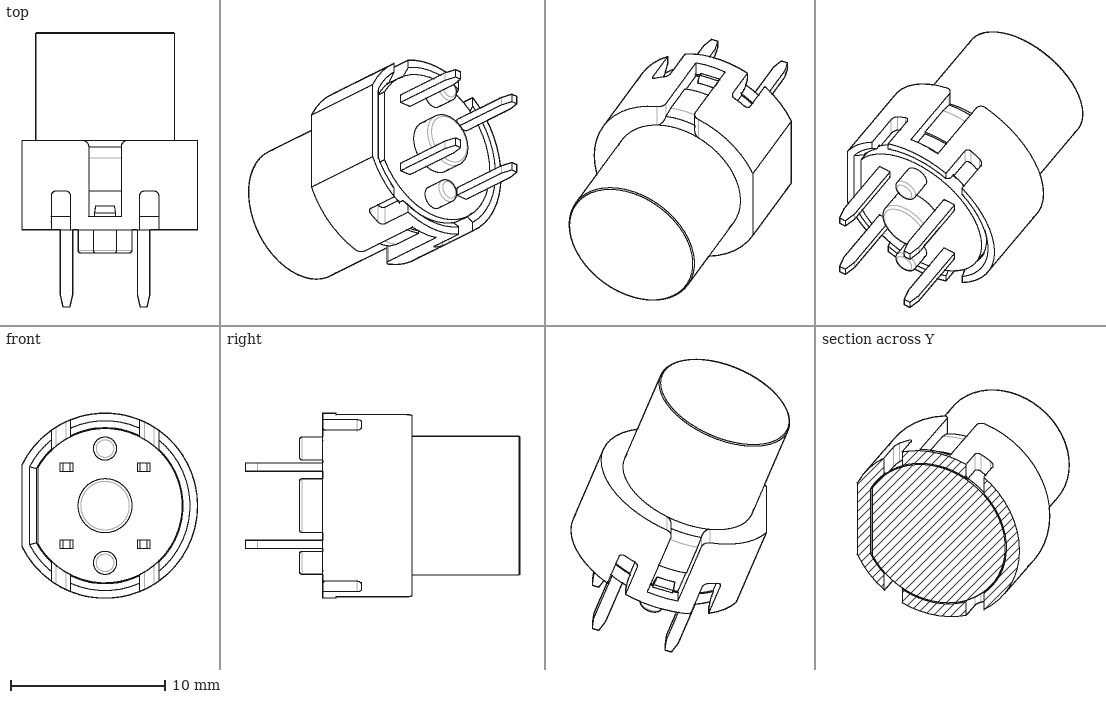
import math

import cadquery as cq


shell_radius = 6.0
shell_flat_x = -5.39
shell_length = 5.8

mouth_wall = 0.5
mouth_chamfer_width = 0.45
mouth_chamfer_depth = 0.5
mouth_radius = shell_radius - mouth_wall
mouth_flat_x = shell_flat_x + mouth_wall
bore_radius = mouth_radius - mouth_chamfer_width
bore_flat_x = mouth_flat_x + mouth_chamfer_width
bore_depth = 0.88

base_radius = bore_radius - 0.05
base_flat_x = bore_flat_x + 0.1

core_floor_radius = 4.9
core_rim_radius = 5.07
core_rim_start = 2.52
core_taper_start = 4.66
core_shoulder_radius = 4.92
core_shoulder_start = 5.37

stem_radius = 4.5
stem_length = 7.0
stem_edge_chamfer = 0.08

window_width = 2.1
window_flare = 0.43

slot_inner_x = 2.24
slot_outer_x = 3.48
slot_depth = core_rim_start
slot_corner_radius = 0.3

latch_width = 1.36
latch_peak_width = 1.22
latch_rise = 0.25
latch_peak_end = 1.08
latch_ramp_end = 1.55

boss_length = 1.5
boss_fillet = 0.18
center_boss_radius = 3.5 / 2
side_boss_radius = 1.5 / 2
side_boss_offset = 3.7

pin_pitch = 5.0
pin_length = 5.0
pin_width = 0.82
pin_thickness = 0.55
pin_tip_width = 0.45
pin_tip_length = 0.8

overlap = 0.5


def cross_section(y):
    """Sketch plane across the part axis; extruding runs towards +Y."""
    return cq.Workplane(cq.Plane(origin=(0, y, 0), xDir=(1, 0, 0), normal=(0, 1, 0)))


def flatted_circle(radius, flat_x):
    """Circle at Y = 0, cut straight along X = flat_x."""
    half_flat = math.sqrt(radius**2 - flat_x**2)
    return (
        cross_section(0)
        .moveTo(flat_x, half_flat)
        .threePointArc((radius, 0), (flat_x, -half_flat))
        .close()
    )


def make_shell():
    """Round block with one flat and a chamfered bore in its mouth."""
    shell = flatted_circle(shell_radius, shell_flat_x).extrude(shell_length)
    bore = flatted_circle(bore_radius, bore_flat_x).extrude(bore_depth)
    chamfer_angle = math.degrees(math.atan2(mouth_chamfer_width, mouth_chamfer_depth))
    mouth = flatted_circle(mouth_radius, mouth_flat_x).extrude(mouth_chamfer_depth, taper=chamfer_angle)
    return shell.cut(bore).cut(mouth)


def make_window_cutter(z_side):
    """Window open at the rear, its side walls rounded outwards at the rear edge."""
    half_width = window_width / 2
    flare_start = shell_length - window_flare
    flare_half_width = half_width + window_flare
    return (
        cq.Workplane("XY")
        .moveTo(-half_width, bore_depth)
        .lineTo(half_width, bore_depth)
        .lineTo(half_width, flare_start)
        .radiusArc((flare_half_width, shell_length), window_flare)
        .lineTo(-flare_half_width, shell_length)
        .radiusArc((-half_width, flare_start), window_flare)
        .close()
        .extrude(z_side * shell_radius)
    )


def make_slot_cutter(x_side, z_side):
    """Slot from the mouth inwards, rounded at the corners of its closed end."""
    center_x = x_side * (slot_inner_x + slot_outer_x) / 2
    return (
        cq.Workplane("XY")
        .center(center_x, slot_depth / 2)
        .rect(slot_outer_x - slot_inner_x, slot_depth)
        .extrude(z_side * shell_radius)
        .edges("|Z and >Y")
        .fillet(slot_corner_radius)
    )


def make_base():
    """Round plate with one flat that carries the pins and bosses."""
    return flatted_circle(base_radius, base_flat_x).extrude(bore_depth)


def make_core():
    """Turned core: a recessed floor, then a low rim that tapers down to the stem."""
    return (
        cq.Workplane("XY")
        .moveTo(0, bore_depth)
        .lineTo(core_floor_radius, bore_depth)
        .lineTo(core_floor_radius, core_rim_start)
        .lineTo(core_rim_radius, core_rim_start)
        .lineTo(core_rim_radius, core_taper_start)
        .lineTo(core_shoulder_radius, core_shoulder_start)
        .lineTo(stem_radius, shell_length)
        .lineTo(0, shell_length)
        .close()
        .revolve(360, (0, 0, 0), (0, 1, 0))
    )


def make_stem():
    stem = cross_section(shell_length - overlap).circle(stem_radius).extrude(overlap + stem_length)
    return stem.faces(">Y").chamfer(stem_edge_chamfer)


def make_latch(z_side):
    """Ramp that rises from the window floor towards the mouth."""
    floor_z = core_floor_radius - overlap
    ramp = (
        cq.Workplane("YZ")
        .moveTo(bore_depth, z_side * floor_z)
        .lineTo(bore_depth, z_side * (core_floor_radius + latch_rise))
        .lineTo(latch_peak_end, z_side * (core_floor_radius + latch_rise))
        .lineTo(latch_ramp_end, z_side * core_floor_radius)
        .lineTo(latch_ramp_end, z_side * floor_z)
        .close()
        .extrude(latch_width / 2, both=True)
    )
    outline = (
        cq.Workplane("XY")
        .moveTo(-latch_width / 2, bore_depth)
        .lineTo(latch_width / 2, bore_depth)
        .lineTo(latch_width / 2, latch_peak_end)
        .lineTo(latch_peak_width / 2, latch_ramp_end)
        .lineTo(-latch_peak_width / 2, latch_ramp_end)
        .lineTo(-latch_width / 2, latch_peak_end)
        .close()
        .extrude(z_side * shell_radius)
    )
    return ramp.intersect(outline)


def make_boss(radius, z):
    """Round boss on the mounting face with a rounded end."""
    boss = cross_section(-boss_length).center(0, -z).circle(radius).extrude(boss_length + overlap)
    return boss.faces("<Y").edges().fillet(boss_fillet)


def make_pin(x, z):
    """Flat pin, tapered in width at its tip."""
    taper_start = pin_tip_length - pin_length
    return (
        cq.Workplane("XY", origin=(x, 0, z))
        .moveTo(-pin_width / 2, overlap)
        .lineTo(-pin_width / 2, taper_start)
        .lineTo(-pin_tip_width / 2, -pin_length)
        .lineTo(pin_tip_width / 2, -pin_length)
        .lineTo(pin_width / 2, taper_start)
        .lineTo(pin_width / 2, overlap)
        .close()
        .extrude(pin_thickness / 2, both=True)
    )


def make_part():
    sides = (-1, 1)

    part = make_shell()
    for z_side in sides:
        part = part.cut(make_window_cutter(z_side))
        for x_side in sides:
            part = part.cut(make_slot_cutter(x_side, z_side))

    part = part.union(make_core()).union(make_base()).union(make_stem())
    part = part.union(make_boss(center_boss_radius, 0))
    for z_side in sides:
        part = part.union(make_latch(z_side))
        part = part.union(make_boss(side_boss_radius, z_side * side_boss_offset))
        for x_side in sides:
            part = part.union(make_pin(x_side * pin_pitch / 2, z_side * pin_pitch / 2))
    return part


result = make_part()